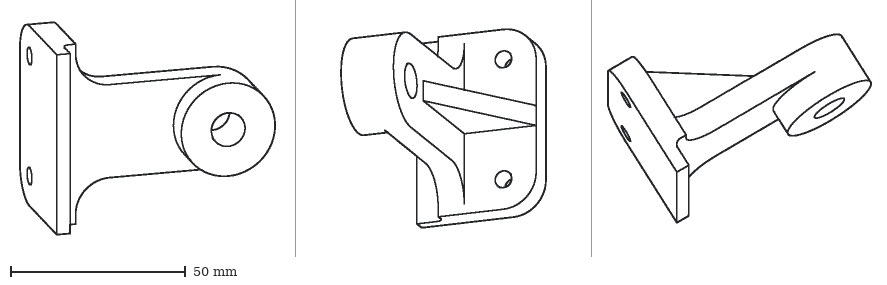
import cadquery as cq

plate_width = 38.0
plate_height = 54.0
plate_thickness = 8.0
corner_radius = 10.0
screw_hole_diameter = 5.0
screw_hole_spacing = 36.0

step_thickness = plate_thickness / 2
step_fillet = 2.0

total_depth = 65.0
arm_start = 22.0
arm_thickness = plate_thickness
arm_end = arm_start + arm_thickness
boss_radius = 14.0
boss_center_y = total_depth - boss_radius
pivot_diameter = 10.0
root_fillet = 10.0

rib_thickness = 6.0
rib_end_y = 41.0


def make_plate():
    """Plate with rounded -X corners, stepped +X edge and two screw holes."""
    plate = (
        cq.Workplane("XY")
        .lineTo(plate_width, 0)
        .lineTo(plate_width, step_thickness)
        .lineTo(arm_end + step_fillet, step_thickness)
        .radiusArc((arm_end, step_thickness + step_fillet), step_fillet)
        .lineTo(arm_end, plate_thickness)
        .lineTo(0, plate_thickness)
        .close()
        .extrude(plate_height / 2, both=True)
        .edges("|Y and <X")
        .fillet(corner_radius)
    )
    half_spacing = screw_hole_spacing / 2
    holes = (
        cq.Workplane("XZ")
        .pushPoints([(corner_radius, -half_spacing), (corner_radius, half_spacing)])
        .circle(screw_hole_diameter / 2)
        .extrude(-plate_thickness)
    )
    return plate.cut(holes)


def make_arm():
    """Web with concave flares at the plate and a round far end."""
    flare_y = plate_thickness + root_fillet
    flare_z = boss_radius + root_fillet
    return (
        cq.Workplane("YZ", origin=(arm_start, 0, 0))
        .moveTo(plate_thickness, -flare_z)
        .radiusArc((flare_y, -boss_radius), root_fillet)
        .lineTo(boss_center_y, -boss_radius)
        .threePointArc((total_depth, 0), (boss_center_y, boss_radius))
        .lineTo(flare_y, boss_radius)
        .radiusArc((plate_thickness, flare_z), root_fillet)
        .close()
        .extrude(arm_thickness)
    )


def make_pivot_cylinder(radius):
    """Cylinder on the pivot axis, from the arm face to the +X side."""
    return (
        cq.Workplane("YZ", origin=(arm_start, 0, 0))
        .center(boss_center_y, 0)
        .circle(radius)
        .extrude(plate_width - arm_start)
    )


def make_rib():
    """Triangle bracing the arm against the plate."""
    return (
        cq.Workplane("XY")
        .moveTo(0, plate_thickness)
        .lineTo(arm_start, plate_thickness)
        .lineTo(arm_start, rib_end_y)
        .close()
        .extrude(rib_thickness / 2, both=True)
    )


result = (
    make_plate()
    .union(make_arm())
    .union(make_pivot_cylinder(boss_radius))
    .union(make_rib())
    .cut(make_pivot_cylinder(pivot_diameter / 2))
)